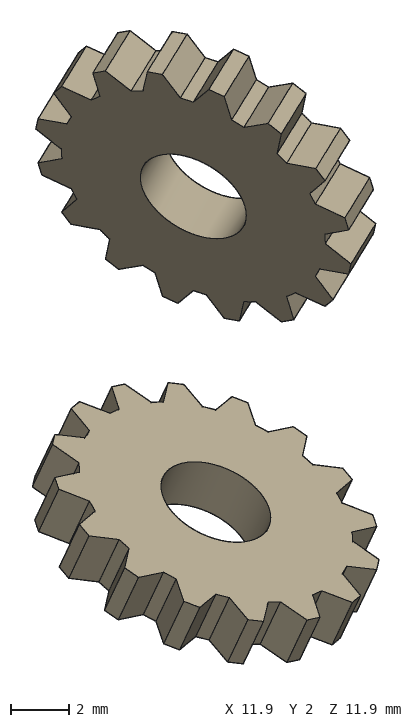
import cadquery as cq
import math

outer_width = 11.94
tooth_count = 16
thickness = 2.0
root_radius = 5.0
bore_radius = 2.0

quarter_pitch = 2 * math.pi / tooth_count / 4

tip_radius = outer_width / 2 / math.cos(quarter_pitch)


def gear_outline():
    """Corner points (x, z) of the toothed outline, counted anticlockwise."""
    points = []
    for tooth in range(tooth_count):
        corner_radii = (root_radius, root_radius, tip_radius, tip_radius)
        for corner, radius in enumerate(corner_radii):
            angle = (4 * tooth + corner) * quarter_pitch
            points.append((radius * math.cos(angle), radius * math.sin(angle)))
    return points


gear = cq.Workplane("XZ").polyline(gear_outline()).close().extrude(thickness / 2, both=True)
bore = cq.Workplane("XZ").circle(bore_radius).extrude(thickness / 2, both=True)

result = gear.cut(bore)